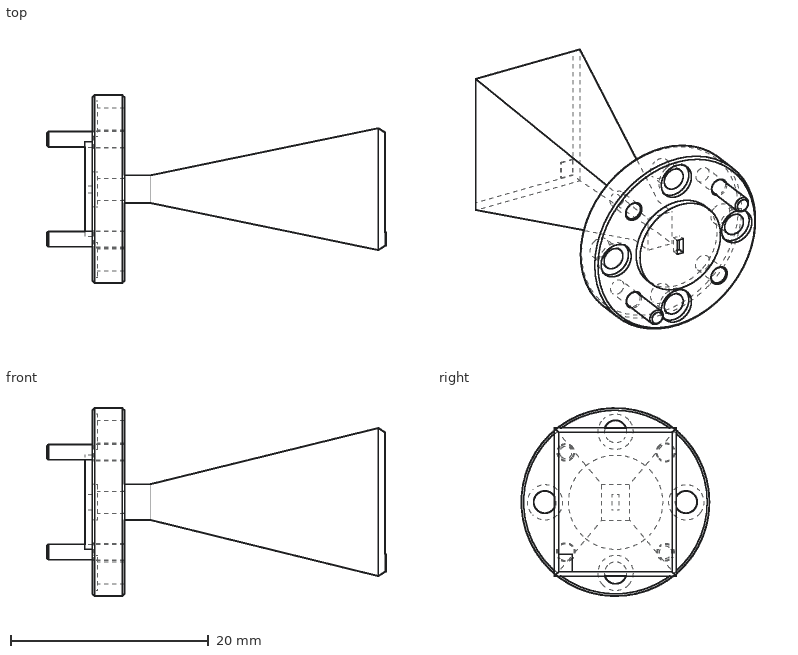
import cadquery as cq
import math

OVERALL_LENGTH = 34.35

FLANGE_DIAMETER = 19.05
FLANGE_FRONT = 4.6
FLANGE_THICKNESS = 3.25
FLANGE_CHAMFER = 0.25
FLANGE_BACK = FLANGE_FRONT + FLANGE_THICKNESS

BOSS_DIAMETER = 9.55
BOSS_HEIGHT = 0.75
BOSS_FRONT = FLANGE_FRONT - BOSS_HEIGHT

PORT_WIDTH = 0.72
PORT_HEIGHT = 1.58
PORT_DEPTH = BOSS_HEIGHT

HOLE_CIRCLE_RADIUS = 7.15
HOLE_CIRCLE_OFFSET = HOLE_CIRCLE_RADIUS * math.sqrt(0.5)
BOLT_HOLE_DIAMETER = 2.23
COUNTERBORE_DIAMETER = 3.57
COUNTERBORE_DEPTH = 0.5
OPEN_PIN_HOLE_DIAMETER = 1.72
PIN_HOLE_CHAMFER = 0.1
COUNTERSINK_TAPER = 45

PIN_DIAMETER = 1.58
PIN_CHAMFER = 0.17

NECK_WIDTH = 2.8
NECK_HEIGHT = 3.65
NECK_LENGTH = 2.6
HORN_WIDTH = 12.35
HORN_HEIGHT = 15.0
RIM_INSET = 0.45
RIM_LENGTH = 0.7
PAD_THICKNESS = 0.1
PAD_WIDTH = 1.37
PAD_HEIGHT = 1.8

NECK_BACK = FLANGE_BACK + NECK_LENGTH
HORN_END = OVERALL_LENGTH - PAD_THICKNESS
RIM_START = HORN_END - RIM_LENGTH
MOUTH_WIDTH = HORN_WIDTH - 2 * RIM_INSET
MOUTH_HEIGHT = HORN_HEIGHT - 2 * RIM_INSET

BOLT_POINTS = [
    (HOLE_CIRCLE_RADIUS, 0),
    (0, HOLE_CIRCLE_RADIUS),
    (-HOLE_CIRCLE_RADIUS, 0),
    (0, -HOLE_CIRCLE_RADIUS),
]
PIN_POINTS = [
    (-HOLE_CIRCLE_OFFSET, HOLE_CIRCLE_OFFSET),
    (HOLE_CIRCLE_OFFSET, -HOLE_CIRCLE_OFFSET),
]
OPEN_HOLE_POINTS = [
    (HOLE_CIRCLE_OFFSET, HOLE_CIRCLE_OFFSET),
    (-HOLE_CIRCLE_OFFSET, -HOLE_CIRCLE_OFFSET),
]


def section(x):
    """Plane across the X axis, with local axes Y and Z."""
    return cq.Workplane("YZ", origin=(x, 0, 0))


def cylinders(points, diameter, start, length):
    """Cylinders along +X at the given (Y, Z) points."""
    return section(start).pushPoints(points).circle(diameter / 2).extrude(length)


def tapered_block(start, end, start_size, end_size):
    """Straight-sided transition between two rectangles."""
    return (
        section(start)
        .rect(*start_size)
        .workplane(offset=end - start)
        .rect(*end_size)
        .loft(ruled=True)
    )


def pin_hole_cutter(points, diameter):
    """Through holes with a countersunk mouth on the flange front."""
    bores = cylinders(points, diameter, FLANGE_FRONT, FLANGE_THICKNESS)
    mouths = (
        section(FLANGE_FRONT)
        .pushPoints(points)
        .circle(diameter / 2 + PIN_HOLE_CHAMFER)
        .extrude(PIN_HOLE_CHAMFER, taper=COUNTERSINK_TAPER)
    )
    return bores.union(mouths)


def make_flange():
    """Chamfered disc with its boss, port and holes."""
    disc = section(FLANGE_FRONT).circle(FLANGE_DIAMETER / 2).extrude(FLANGE_THICKNESS)
    disc = disc.edges("%CIRCLE").chamfer(FLANGE_CHAMFER)
    boss = section(BOSS_FRONT).circle(BOSS_DIAMETER / 2).extrude(BOSS_HEIGHT)
    port = section(BOSS_FRONT).rect(PORT_WIDTH, PORT_HEIGHT).extrude(PORT_DEPTH)
    flange = disc.union(boss).cut(port)
    flange = flange.cut(cylinders(BOLT_POINTS, BOLT_HOLE_DIAMETER, FLANGE_FRONT, FLANGE_THICKNESS))
    flange = flange.cut(cylinders(BOLT_POINTS, COUNTERBORE_DIAMETER, FLANGE_FRONT, COUNTERBORE_DEPTH))
    flange = flange.cut(pin_hole_cutter(OPEN_HOLE_POINTS, OPEN_PIN_HOLE_DIAMETER))
    return flange.cut(pin_hole_cutter(PIN_POINTS, PIN_DIAMETER))


def make_horn():
    """Neck, flared horn, bevelled rim and the thin pad in one mouth corner."""
    neck_size = (NECK_WIDTH, NECK_HEIGHT)
    horn_size = (HORN_WIDTH, HORN_HEIGHT)
    neck = section(FLANGE_BACK).rect(*neck_size).extrude(NECK_LENGTH)
    flare = tapered_block(NECK_BACK, RIM_START, neck_size, horn_size)
    rim = tapered_block(RIM_START, HORN_END, horn_size, (MOUTH_WIDTH, MOUTH_HEIGHT))
    pad = (
        section(HORN_END)
        .center(-MOUTH_WIDTH / 2, -MOUTH_HEIGHT / 2)
        .rect(PAD_WIDTH, PAD_HEIGHT, centered=False)
        .extrude(PAD_THICKNESS)
    )
    return neck.union(flare).union(rim).union(pad)


def make_pin(point):
    """Alignment pin with a chamfered tip, ending flush with the flange back."""
    pin = cylinders([point], PIN_DIAMETER, 0, FLANGE_BACK)
    return pin.faces("<X").chamfer(PIN_CHAMFER)


antenna = make_flange().union(make_horn())
pins = [make_pin(point) for point in PIN_POINTS]

result = cq.Compound.makeCompound([antenna.val(), *[pin.val() for pin in pins]])